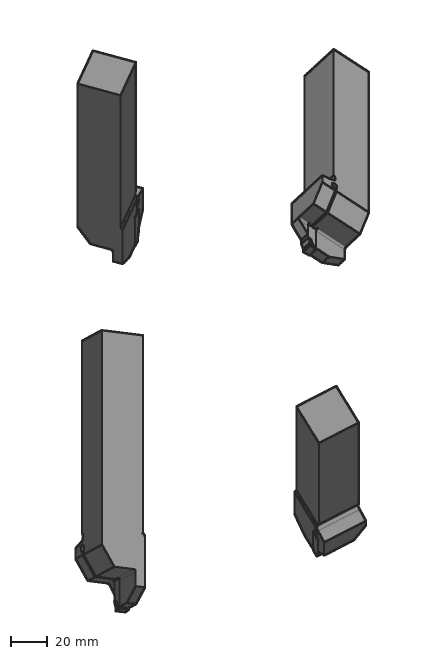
import cadquery as cq
import math

length = 150.0
shank_width = 24.9
shank_height = 25.0
head_width = 26.1
head_height = 33.2

step_low_z = 37.2
step_high_z = step_low_z + head_width - shank_width
head_bottom_z = 17.5
head_slope_top_z = 29.1
head_slope_x = 7.5
blade_x = 20.4
blade_fillet = 1.4

jaw_top_z = 35.0
jaw_slope_end = (26.2, 36.8)
neck_bottom = (23.8, 39.5)
neck_top_z = 41.5

blade_tip_z = 1.4
nose_slope_y = 11.2
nose_slope_z = 8.1
jaw_bottom_z = 17.4
jaw_tip_z = 9.2

relief_y = 24.5
relief_z = 32.8
relief_radius = 1.8
slot_y = 23.5
slot_width = 0.9

insert_low_y = 20.4
insert_high_y = 26.2
insert_top_z = 24.9
tail_z = 20.7
tail_setback = 1.5
edge_y = 24.9
rake_low_z = 2.5
rake_high_z = 5.7
heel_z = 0.5
cheek_height = 0.3


def box(x_range, y_range, z_range):
    """Box spanning the given low and high limits on each axis."""
    sizes = [high - low for low, high in (x_range, y_range, z_range)]
    corner = (x_range[0], y_range[0], z_range[0])
    return cq.Workplane("XY").box(*sizes, centered=False).translate(corner)


def make_side_profile():
    """Holder outline in the YZ plane, extruded over the full width."""
    return (
        cq.Workplane("YZ")
        .moveTo(0, length)
        .lineTo(0, nose_slope_z)
        .lineTo(nose_slope_y, blade_tip_z)
        .lineTo(insert_high_y, blade_tip_z)
        .lineTo(insert_high_y, jaw_tip_z)
        .lineTo(head_height, jaw_bottom_z)
        .lineTo(head_height, jaw_top_z)
        .lineTo(*jaw_slope_end)
        .threePointArc(neck_bottom, (shank_height, neck_top_z))
        .lineTo(shank_height, length)
        .close()
        .extrude(head_width)
    )


def make_front_profile():
    """Holder outline in the XZ plane, extruded over the full height."""
    arc_x = blade_x - blade_fillet
    arc_z = head_bottom_z - blade_fillet
    arc_reach = blade_fillet * math.sqrt(0.5)
    arc_middle = (arc_x + arc_reach, arc_z + arc_reach)
    return (
        cq.Workplane("XZ")
        .moveTo(0, length)
        .lineTo(0, head_slope_top_z)
        .lineTo(head_slope_x, head_bottom_z)
        .lineTo(arc_x, head_bottom_z)
        .threePointArc(arc_middle, (blade_x, arc_z))
        .lineTo(blade_x, 0)
        .lineTo(head_width, 0)
        .lineTo(head_width, step_low_z)
        .lineTo(shank_width, step_high_z)
        .lineTo(shank_width, length)
        .close()
        .extrude(-head_height)
    )


def make_insert_body():
    """Insert without its raised cheek; this is also the shape of its seat."""
    body = (
        cq.Workplane("YZ", origin=(blade_x, 0, 0))
        .polyline([
            (insert_low_y, insert_top_z),
            (insert_high_y, insert_top_z),
            (insert_high_y, rake_high_z),
            (edge_y, rake_low_z),
            (edge_y, 0),
            (insert_low_y, heel_z),
        ])
        .close()
        .extrude(head_width - blade_x)
    )
    setback = box(
        (blade_x, blade_x + tail_setback),
        (insert_low_y, insert_high_y),
        (tail_z, insert_top_z),
    )
    return body.cut(setback)


def make_seat():
    """Insert seat, open at the nose and through the fillet of the blade root."""
    fillet_gap = box(
        (blade_x - blade_fillet, blade_x),
        (insert_low_y, insert_high_y),
        (0, head_bottom_z),
    )
    nose_gap = box((blade_x, head_width), (insert_low_y, insert_high_y), (0, jaw_tip_z))
    return make_insert_body().union(fillet_gap).union(nose_gap)


def make_holder():
    half_slot = slot_width / 2
    slot = box(
        (0, head_width),
        (slot_y - half_slot, slot_y + half_slot),
        (head_bottom_z, relief_z),
    )
    relief_hole = (
        cq.Workplane("YZ").center(relief_y, relief_z).circle(relief_radius).extrude(head_width)
    )
    blank = make_side_profile().intersect(make_front_profile())
    return blank.cut(slot).cut(relief_hole).cut(make_seat())


def make_insert():
    cheek_crown = (24.9, 5.8)
    cheek_shoulder = (23.8, 4.5)
    cheek_heel_y = 21.8
    edge_slope = heel_z / (edge_y - insert_low_y)
    cheek_heel_z = (edge_y - cheek_heel_y) * edge_slope
    cheek = (
        cq.Workplane("YZ", origin=(blade_x - cheek_height, 0, 0))
        .moveTo(edge_y, 0)
        .lineTo(edge_y, rake_low_z)
        .lineTo(insert_high_y, rake_high_z)
        .threePointArc(cheek_crown, cheek_shoulder)
        .lineTo(cheek_heel_y, cheek_heel_z)
        .close()
        .extrude(cheek_height)
    )
    return make_insert_body().union(cheek)


holder = make_holder()
insert = make_insert()
result = cq.Compound.makeCompound([holder.solids().val(), insert.solids().val()])